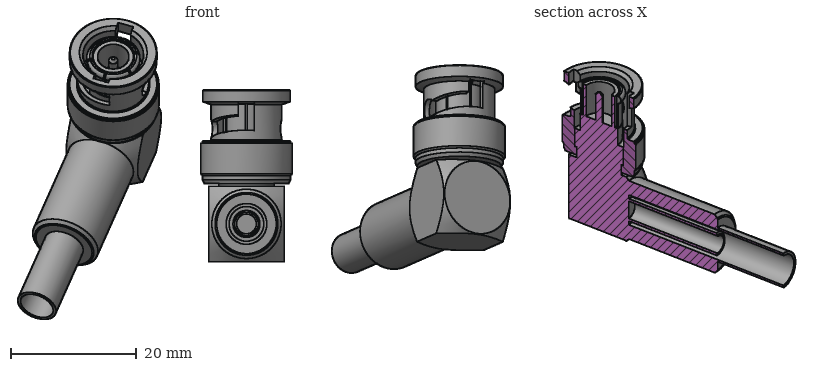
import cadquery as cq
import math


cube_side = 12.05
cube_half = cube_side / 2
cube_front_y = -5.95
collar_radius = 5.5
collar_end_y = -23.5
collar_chamfer = 0.53
collar_edge_width = 0.25
collar_edge_length = 0.1
back_chamfer_radius = 5.9
tube_radius = 3.25
tube_bore_radius = 2.75
nut_diameter = 14.6
nut_radius = nut_diameter / 2
total_length = 43.8
tube_end_y = nut_radius - total_length
nipple_radius = 2.15
nipple_bore_radius = 1.58
nipple_chamfer = 0.25

total_height = 27.35
plug_top_z = total_height - cube_half
nut_bottom_z = 6.4
flange_top_z = 11.4
flange_bottom_z = 7.9
finger_root_z = 14.45

neck_radius = 4.42
nut_bore_radius = 4.8
root_radius = 3.75
finger_radius = 3.72
finger_bulge_radius = 4.25
finger_inner_radius = 3.37
finger_top_z = plug_top_z - 0.88
finger_bulge_height = 1.4
finger_count = 6
slit_width = 0.3
insulator_radius = 3.2
insulator_bore_radius = 2.5
insulator_top_z = plug_top_z - 1.05
pin_radius = 0.7
pin_tip_radius = 0.25
pin_top_z = plug_top_z - 1.5
pin_tip_height = 0.53

barrel_radius = 5.65
rim_radius = 6.95
rim_edge = 0.15
rim_bottom_z = 19.4
rim_cone_bottom_z = 18.95
mouth_radius = 5.4
mouth_depth = mouth_radius - nut_bore_radius
barrel_base_cone = 0.18
shoulder_z = 13.2
shoulder_edge = 0.15
grip_top_z = 12.85
grip_top_radius = 7.05
grip_bottom_z = 7.95
step_radius = 7.0
step_top_z = 7.65
step_bottom_z = 7.0
nut_bottom_radius = 6.7

entry_width = 2.55
entry_reach = 5.95
ramp_slope = 0.25
ramp_height = 2.5
detent_z = 15.1
detent_radius = 1.58


def turned(points):
    """Solid of revolution about Z from a closed (radius, z) outline."""
    return cq.Workplane("XZ").polyline(points).close().revolve(360, (0, 0), (0, 1))


def turned_along_cable(points):
    """Solid of revolution about Y from a closed (radius, y) outline."""
    return cq.Workplane("XY").polyline(points).close().revolve(360, (0, 0), (0, 1))


def make_cube():
    """Cube whose front and back corners are turned off at 45 degrees about the cable axis."""
    corner_radius = cube_side
    envelope = turned_along_cable([
        (0, cube_front_y),
        (collar_radius, cube_front_y),
        (corner_radius, cube_front_y + corner_radius - collar_radius),
        (corner_radius, cube_half - corner_radius + back_chamfer_radius),
        (back_chamfer_radius, cube_half),
        (0, cube_half),
    ])
    return cq.Workplane("XY").box(cube_side, cube_side, cube_side).intersect(envelope)


def make_cable_outlet():
    """Collar with a broken end edge, the crimp tube and the nipple inside it."""
    edge_outer_radius = collar_radius - collar_chamfer
    edge_start_y = collar_end_y + collar_edge_length
    nipple_tip_y = collar_end_y
    return turned_along_cable([
        (0, 0),
        (collar_radius, 0),
        (collar_radius, edge_start_y + collar_chamfer),
        (edge_outer_radius, edge_start_y),
        (edge_outer_radius - collar_edge_width, collar_end_y),
        (tube_radius, collar_end_y),
        (tube_radius, tube_end_y),
        (tube_bore_radius, tube_end_y),
        (tube_bore_radius, cube_front_y),
        (nipple_radius, cube_front_y),
        (nipple_radius, nipple_tip_y + nipple_chamfer),
        (nipple_radius - nipple_chamfer, nipple_tip_y),
        (nipple_bore_radius, nipple_tip_y),
        (nipple_bore_radius, cube_front_y),
        (0, cube_front_y),
    ])


def make_neck():
    """Neck out of the cube, the flange that carries the nut, and the root of the spring fingers."""
    return turned([
        (0, 0),
        (neck_radius, 0),
        (neck_radius, flange_bottom_z),
        (nut_bore_radius, flange_bottom_z),
        (nut_bore_radius, flange_top_z),
        (root_radius, flange_top_z),
        (root_radius, finger_root_z),
        (0, finger_root_z),
    ])


def make_spring_fingers():
    """Ring that bulges outward below its tip, slit into equal fingers."""
    ring = (
        cq.Workplane("XZ")
        .moveTo(finger_inner_radius, 0)
        .lineTo(finger_radius, 0)
        .lineTo(finger_radius, finger_top_z - finger_bulge_height)
        .threePointArc(
            (finger_bulge_radius, finger_top_z - finger_bulge_height / 2),
            (finger_radius, finger_top_z),
        )
        .lineTo(finger_inner_radius, finger_top_z)
        .close()
        .revolve(360, (0, 0), (0, 1))
    )
    slit = cq.Workplane("XY").workplane(offset=finger_root_z).rect(
        2 * nut_bore_radius, slit_width).extrude(plug_top_z - finger_root_z)
    slit_pitch = 360 / finger_count
    for index in range(finger_count // 2):
        ring = ring.cut(slit.rotate((0, 0, 0), (0, 0, 1), slit_pitch * (index + 0.5)))
    return ring


def make_insulator():
    """Dielectric sleeve around the centre contact."""
    return turned([
        (insulator_bore_radius, 0),
        (insulator_radius, 0),
        (insulator_radius, insulator_top_z),
        (insulator_bore_radius, insulator_top_z),
    ])


def make_pin():
    """Centre contact with a conical tip."""
    return turned([
        (0, 0),
        (pin_radius, 0),
        (pin_radius, pin_top_z - pin_tip_height),
        (pin_tip_radius, pin_top_z),
        (0, pin_top_z),
    ])


def make_body():
    body = make_cube()
    for make_feature in (make_cable_outlet, make_neck, make_spring_fingers, make_insulator, make_pin):
        body = body.union(make_feature())
    return body


def make_bayonet_slot():
    """Entry slot on the -Y side, a ramp down to the -X side, and the round detent there."""
    ramp_base_z = detent_z - detent_radius * math.hypot(1, ramp_slope)
    ramp_end_z = ramp_base_z + ramp_slope * entry_reach
    entry = cq.Workplane("XY").box(
        entry_width, entry_reach, plug_top_z - ramp_end_z, centered=(True, False, False)
    ).translate((0, -entry_reach, ramp_end_z))
    ramp = cq.Workplane("YZ").workplane(offset=entry_width / 2).polyline([
        (0, ramp_base_z),
        (-entry_reach, ramp_end_z),
        (-entry_reach, ramp_end_z + ramp_height),
        (0, ramp_base_z + ramp_height),
    ]).close().extrude(-entry_width / 2 - entry_reach)
    detent = cq.Workplane("YZ").center(0, detent_z).circle(detent_radius).extrude(-entry_reach)
    return entry.union(ramp).union(detent)


def make_nut():
    nut = turned([
        (neck_radius, nut_bottom_z),
        (nut_bottom_radius, nut_bottom_z),
        (step_radius, step_bottom_z),
        (step_radius, step_top_z),
        (nut_radius, grip_bottom_z),
        (nut_radius, grip_top_z),
        (grip_top_radius, grip_top_z),
        (grip_top_radius, shoulder_z - shoulder_edge),
        (grip_top_radius - shoulder_edge, shoulder_z),
        (barrel_radius + barrel_base_cone, shoulder_z),
        (barrel_radius, shoulder_z + barrel_base_cone),
        (barrel_radius, rim_cone_bottom_z),
        (rim_radius - (rim_bottom_z - rim_cone_bottom_z), rim_bottom_z - rim_edge),
        (rim_radius, rim_bottom_z),
        (rim_radius, plug_top_z - rim_edge),
        (rim_radius - rim_edge, plug_top_z),
        (mouth_radius, plug_top_z),
        (nut_bore_radius, plug_top_z - mouth_depth),
        (nut_bore_radius, flange_bottom_z),
        (neck_radius, flange_bottom_z),
    ])
    slot = make_bayonet_slot()
    for angle in (0, 180):
        nut = nut.cut(slot.rotate((0, 0, 0), (0, 0, 1), angle))
    return nut


body = make_body()
nut = make_nut()

result = cq.Compound.makeCompound([body.val(), nut.val()])